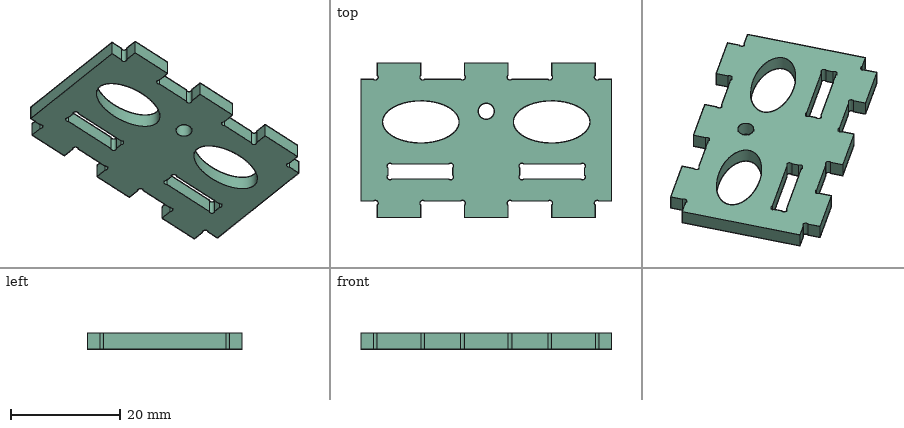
import cadquery as cq
import math

thickness = 3.0
plate_length = 46.0
overall_width = 28.4

tab_depth = thickness
tab_width = 8.0
tab_pitch = 2 * tab_width
tab_centers = (-tab_pitch, 0.0, tab_pitch)
body_width = overall_width - 2 * tab_depth

relief_radius = 0.5
relief_offset = relief_radius / math.sqrt(2)

window_length = 14.0
window_width = 7.7
window_x = 12.0
window_y = 3.35

slot_length = 11.85
slot_width = 2.7
slot_x = 12.1
slot_y = -5.75

hole_diameter = 2.9
hole_y = 5.3


def prism(length, width, x=0.0, y=0.0):
    """Full-thickness rectangular block centred on (x, y)."""
    return cq.Workplane("XY").center(x, y).rect(length, width).extrude(thickness)


def relief_cutter(corner_x, corner_y, side_x, side_y):
    """Corner relief; side_x and side_y (+1 or -1) point from the corner into the open space."""
    center = (corner_x + side_x * relief_offset, corner_y + side_y * relief_offset)
    return cq.Workplane("XY").center(*center).circle(relief_radius).extrude(thickness)


def tabbed_plate():
    """Plate with tabs on both long edges and reliefs at the foot of each tab."""
    plate = prism(plate_length, body_width)
    for tab_x in tab_centers:
        plate = plate.union(prism(tab_width, overall_width, tab_x))
    for tab_x in tab_centers:
        for side_x in (-1, 1):
            for side_y in (-1, 1):
                corner_x = tab_x + side_x * tab_width / 2
                corner_y = side_y * body_width / 2
                plate = plate.cut(relief_cutter(corner_x, corner_y, side_x, side_y))
    return plate


def slot_cutter(center_x):
    """Rectangular slot with a relief at each corner."""
    cutter = prism(slot_length, slot_width, center_x, slot_y)
    for side_x in (-1, 1):
        for side_y in (-1, 1):
            corner_x = center_x + side_x * slot_length / 2
            corner_y = slot_y + side_y * slot_width / 2
            cutter = cutter.union(relief_cutter(corner_x, corner_y, -side_x, -side_y))
    return cutter


def window_cutter(center_x):
    """Elliptical window with its long axis along X."""
    outline = cq.Workplane("XY").center(center_x, window_y).ellipse(window_length / 2, window_width / 2)
    return outline.extrude(thickness)


def hole_cutter():
    """Round through hole on the plate's centre line."""
    return cq.Workplane("XY").center(0, hole_y).circle(hole_diameter / 2).extrude(thickness)


result = tabbed_plate().cut(hole_cutter())
for side in (-1, 1):
    result = result.cut(window_cutter(side * window_x))
    result = result.cut(slot_cutter(side * slot_x))